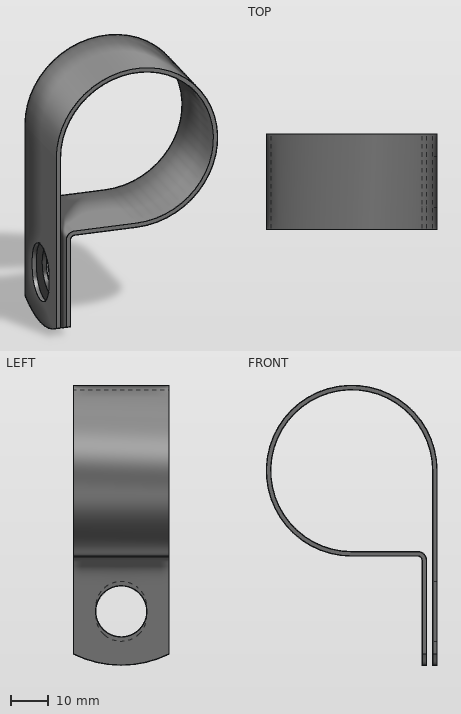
import cadquery as cq
import math

strip_width = 25.4
thickness = 1.214
loop_inner_diameter = 42.862
leg_gap = 1.5875
bend_inner_radius = 1.1
leg_length = 51.565
hole_diameter = 13.494
slot_length = 15.875
hole_to_tip = 14.2875
tip_radius = 28.575

inner_radius = loop_inner_diameter / 2
outer_radius = inner_radius + thickness
bend_outer_radius = bend_inner_radius + thickness
half_width = strip_width / 2
short_leg_right = inner_radius - leg_gap
short_leg_left = short_leg_right - thickness
bend_x = short_leg_left - bend_inner_radius
bend_z = -outer_radius - bend_inner_radius
tip_z = -leg_length
hole_z = tip_z + hole_to_tip
tip_rise = tip_radius - math.sqrt(tip_radius**2 - half_width**2)
leg_gap_middle = inner_radius - leg_gap / 2
diagonal = math.sqrt(0.5)


def make_strap():
    """Bent strip: long leg, 270 degree loop, flat shelf, bend and short leg."""
    profile = (
        cq.Workplane("XZ")
        .moveTo(outer_radius, tip_z)
        .lineTo(outer_radius, 0)
        .threePointArc(
            (-outer_radius * diagonal, outer_radius * diagonal),
            (0, -outer_radius),
        )
        .lineTo(bend_x, -outer_radius)
        .threePointArc(
            (bend_x + bend_inner_radius * diagonal, bend_z + bend_inner_radius * diagonal),
            (short_leg_left, bend_z),
        )
        .lineTo(short_leg_left, tip_z)
        .lineTo(short_leg_right, tip_z)
        .lineTo(short_leg_right, bend_z)
        .threePointArc(
            (bend_x + bend_outer_radius * diagonal, bend_z + bend_outer_radius * diagonal),
            (bend_x, -inner_radius),
        )
        .lineTo(0, -inner_radius)
        .threePointArc(
            (-inner_radius * diagonal, inner_radius * diagonal),
            (inner_radius, 0),
        )
        .lineTo(inner_radius, tip_z)
        .close()
    )
    return profile.extrude(half_width, both=True)


def make_side_envelope():
    """Outline of the strap seen along X, with the rounded leg tip."""
    return (
        cq.Workplane("YZ")
        .moveTo(-half_width, outer_radius)
        .lineTo(-half_width, tip_z + tip_rise)
        .threePointArc((0, tip_z), (half_width, tip_z + tip_rise))
        .lineTo(half_width, outer_radius)
        .close()
        .extrude(outer_radius, both=True)
    )


def make_short_leg_hole():
    """Cylinder along X that pierces the short leg and ends in the gap."""
    return (
        cq.Workplane("YZ")
        .center(0, hole_z)
        .circle(hole_diameter / 2)
        .extrude(leg_gap_middle)
    )


def make_long_leg_slot():
    """Upright slot, centred on the hole, that pierces the long leg."""
    return (
        cq.Workplane("YZ")
        .workplane(offset=leg_gap_middle)
        .center(0, hole_z)
        .slot2D(slot_length, hole_diameter, 90)
        .extrude(outer_radius - leg_gap_middle)
    )


strap = make_strap().intersect(make_side_envelope())
result = strap.cut(make_short_leg_hole()).cut(make_long_leg_slot())